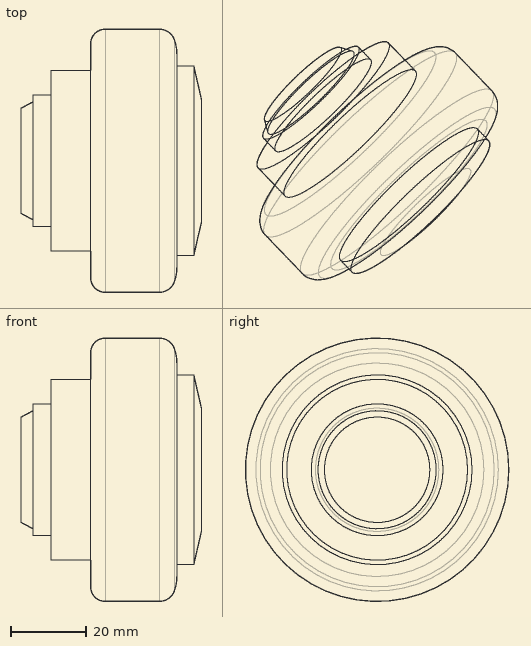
import cadquery as cq
import math

tip_end = 3.15
spigot_end = 7.9
shoulder_end = 18.5
tyre_tread_end = 36.8
tyre_end = 41.5
cap_rim_end = 46.0
total_length = 48.0

tip_face_radius = 14.0
tip_base_radius = 15.7
spigot_radius = 17.5
shoulder_radius = 24.05
tyre_radius = 35.05
cap_radius = 25.25
cap_face_radius = 16.4

front_round = 3.9
back_round = 4.3
blend_angle = math.radians(20)


def disc(start, end, radius):
    """Cylinder about the X axis between two axial stations."""
    return cq.Workplane("YZ").workplane(offset=start).circle(radius).extrude(end - start)


def cone(start, end, start_radius, end_radius):
    """Truncated cone about the X axis between two axial stations."""
    profile = [(start, 0), (start, start_radius), (end, end_radius), (end, 0)]
    return cq.Workplane("XY").polyline(profile).close().revolve(360, (0, 0, 0), (1, 0, 0))


tip = cone(0, tip_end, tip_face_radius, tip_base_radius)
spigot = disc(tip_end, spigot_end, spigot_radius)
shoulder = disc(spigot_end, shoulder_end, shoulder_radius)


def arc_point(center, radius, angle):
    """Point (axial, radial) on an arc, with the angle taken from the axis."""
    return (center[0] + radius * math.cos(angle), center[1] + radius * math.sin(angle))


def make_tyre():
    """Revolved tyre with a rounded front edge and a two-arc back edge."""
    quarter_turn = math.radians(90)
    front_center = (shoulder_end + front_round, tyre_radius - front_round)
    front_mid = arc_point(front_center, front_round, 1.5 * quarter_turn)

    back_center = (tyre_tread_end, tyre_radius - back_round)
    back_mid = arc_point(back_center, back_round, (quarter_turn + blend_angle) / 2)
    blend = arc_point(back_center, back_round, blend_angle)

    flat_arc_radius = (tyre_end - blend[0]) / (1 - math.cos(blend_angle))
    flat_center = (tyre_end - flat_arc_radius, blend[1] - flat_arc_radius * math.sin(blend_angle))
    flat_mid = arc_point(flat_center, flat_arc_radius, blend_angle / 2)

    return (
        cq.Workplane("XY")
        .moveTo(shoulder_end, 0)
        .lineTo(shoulder_end, front_center[1])
        .threePointArc(front_mid, (front_center[0], tyre_radius))
        .lineTo(tyre_tread_end, tyre_radius)
        .threePointArc(back_mid, blend)
        .threePointArc(flat_mid, (tyre_end, flat_center[1]))
        .lineTo(tyre_end, 0)
        .close()
        .revolve(360, (0, 0, 0), (1, 0, 0))
    )


tyre = make_tyre()

cap_rim = disc(tyre_end, cap_rim_end, cap_radius)
cap_end = cone(cap_rim_end, total_length, cap_radius, cap_face_radius)

result = tip.union(spigot).union(shoulder).union(tyre).union(cap_rim).union(cap_end)